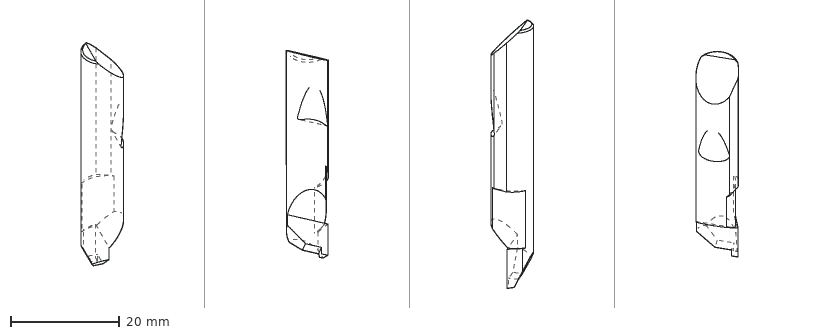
import cadquery as cq
import math

LENGTH = 50.8
DIAMETER = 7.94
RADIUS = DIAMETER / 2
CLEAR = 2 * DIAMETER

END_CHAMFER = 0.35
BEVEL_START_Y = -2.22

FLAT_FAR_Y = 2.7
SHANK_FLAT_NEAR_Y = 0.12
TIP_FLAT_NEAR_Y = 0

NOTCH_FLOOR_Z = 29.16
NOTCH_TOP_Z = 37.8
NOTCH_ANGLE = 9.5
NOTCH_RADIUS = 0.8

RELIEF_BOTTOM_Z = 7.78
RELIEF_TOP_Z = 19.1
RELIEF_CREST_X = -3.32
RELIEF_HALF_WIDTH = 3.15

FRONT_CLEARANCE_ANGLE = 24.9
FRONT_CLEARANCE_TOP_Z = 6.08
TIP_INNER_X = -2.66
TIP_HEIGHT = 1.6
TIP_CLEARANCE_ANGLE = 7.0
TIP_SIDE_ANGLE = 3.0
TIP_CORNER_RADIUS = 0.1
FLANK_START_X = 0.42


def prism_along_x(points):
    """Prism of a (y, z) polygon, reaching past the bar on both sides in X."""
    return cq.Workplane("YZ").polyline(points).close().extrude(CLEAR, both=True)


def shank():
    return cq.Workplane("XY").circle(RADIUS).extrude(LENGTH).faces(">Z").chamfer(END_CHAMFER)


def end_bevel():
    return prism_along_x([
        (BEVEL_START_Y, LENGTH),
        (BEVEL_START_Y + CLEAR, LENGTH - CLEAR),
        (BEVEL_START_Y + CLEAR, LENGTH),
    ])


def bar_edge_x(y):
    """X of the bar's round surface on the -X side at the given Y."""
    return -math.sqrt(RADIUS**2 - y**2)


def side_flat(near_y, far_y, z_bottom, z_top):
    """Cutter for a flat along a chord of the bar's -X side."""
    return (
        cq.Workplane("XY", origin=(0, 0, z_bottom))
        .moveTo(bar_edge_x(near_y), near_y)
        .lineTo(bar_edge_x(far_y), far_y)
        .lineTo(-CLEAR, far_y)
        .lineTo(-CLEAR, near_y)
        .close()
        .extrude(z_top - z_bottom)
    )


def notch():
    height = CLEAR
    slope = math.tan(math.radians(NOTCH_ANGLE))
    floor_y = RADIUS - (NOTCH_TOP_Z - NOTCH_FLOOR_Z) * slope
    cutter = prism_along_x([
        (floor_y, NOTCH_FLOOR_Z),
        (floor_y + height * slope, NOTCH_FLOOR_Z + height),
        (CLEAR, NOTCH_FLOOR_Z + height),
        (CLEAR, NOTCH_FLOOR_Z),
    ])
    return cutter.edges("|X").edges("<Y").fillet(NOTCH_RADIUS)


def crowned_relief():
    """Cutter leaving a convex face whose crest and edges lie inside the bar."""
    edge_x = bar_edge_x(RELIEF_HALF_WIDTH)
    return (
        cq.Workplane("XY", origin=(0, 0, RELIEF_BOTTOM_Z))
        .moveTo(edge_x, -RELIEF_HALF_WIDTH)
        .threePointArc((RELIEF_CREST_X, 0), (edge_x, RELIEF_HALF_WIDTH))
        .lineTo(-CLEAR, RELIEF_HALF_WIDTH)
        .lineTo(-CLEAR, -RELIEF_HALF_WIDTH)
        .close()
        .extrude(RELIEF_TOP_Z - RELIEF_BOTTOM_Z)
    )


def rake_cut():
    """Removes the +Y half at the tip, running out at 45 degrees."""
    return prism_along_x([
        (0, -CLEAR),
        (0, RELIEF_BOTTOM_Z),
        (CLEAR, RELIEF_BOTTOM_Z + CLEAR),
        (CLEAR, -CLEAR),
    ])


def front_clearance():
    run = math.tan(math.radians(FRONT_CLEARANCE_ANGLE))
    return prism_along_x([
        (-RADIUS, FRONT_CLEARANCE_TOP_Z),
        (-RADIUS + CLEAR * run, FRONT_CLEARANCE_TOP_Z - CLEAR),
        (-RADIUS - CLEAR, FRONT_CLEARANCE_TOP_Z - CLEAR),
        (-RADIUS - CLEAR, FRONT_CLEARANCE_TOP_Z),
    ])


def tip_end_clearance():
    rise = CLEAR * math.tan(math.radians(TIP_CLEARANCE_ANGLE))
    return prism_along_x([(0, 0), (-CLEAR, rise), (-CLEAR, -CLEAR), (0, -CLEAR)])


def tip_gap():
    """Space beside the tip, its wall leaning back from the rake face."""
    lean = RADIUS * math.tan(math.radians(TIP_SIDE_ANGLE))
    return (
        cq.Workplane("XY")
        .moveTo(TIP_INNER_X, 0)
        .lineTo(TIP_INNER_X - lean, -RADIUS)
        .lineTo(RADIUS, -RADIUS)
        .lineTo(RADIUS, 0)
        .close()
        .extrude(TIP_HEIGHT)
    )


def flank():
    return (
        cq.Workplane("XZ")
        .moveTo(FLANK_START_X, TIP_HEIGHT)
        .lineTo(FLANK_START_X + CLEAR, TIP_HEIGHT + CLEAR)
        .lineTo(FLANK_START_X + CLEAR, TIP_HEIGHT)
        .close()
        .extrude(CLEAR, both=True)
    )


cutters = [
    end_bevel(),
    side_flat(SHANK_FLAT_NEAR_Y, FLAT_FAR_Y, RELIEF_TOP_Z, LENGTH),
    side_flat(-TIP_FLAT_NEAR_Y, -FLAT_FAR_Y, 0, RELIEF_BOTTOM_Z),
    notch(),
    crowned_relief(),
    rake_cut(),
    front_clearance(),
    tip_end_clearance(),
    tip_gap(),
    flank(),
]

result = shank()
for cutter in cutters:
    result = result.cut(cutter)

result = result.faces("<Z").edges("not |X").fillet(TIP_CORNER_RADIUS)